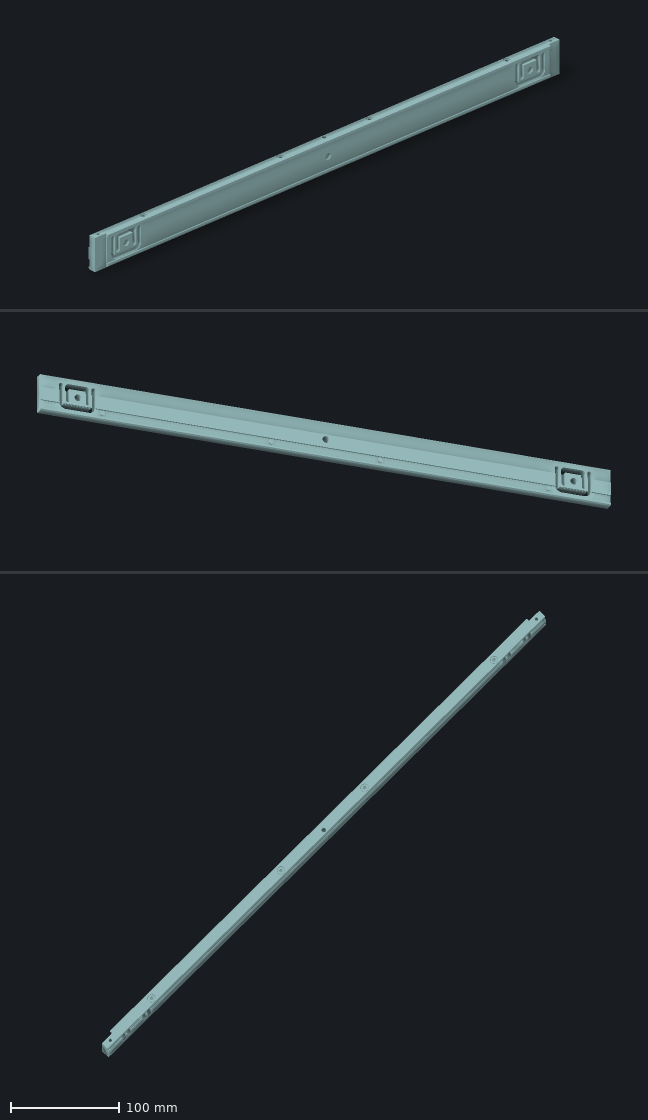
import cadquery as cq
import math

RAIL_LENGTH = 575.0
RAIL_WIDTH = 11.85
RAIL_HEIGHT = 36.1
LEFT = -RAIL_WIDTH / 2
RIGHT = RAIL_WIDTH / 2
TOP = RAIL_HEIGHT / 2
BOTTOM = -RAIL_HEIGHT / 2
HALF_LENGTH = RAIL_LENGTH / 2

WALL_STEP = 1.5
BODY_LEFT = LEFT + WALL_STEP
BODY_RIGHT = RIGHT - WALL_STEP
BAND_TOP = 5.5
BAND_BOTTOM = -7.8
EDGE_BREAK = 0.8
FOOT_TOP = -15.2
FOOT_BOTTOM = -17.0
TOP_LIP_DROP = 0.6
TOP_LIP_BOTTOM = 14.7
LOW_LIP_TOP = -12.8
LOW_LIP_BOTTOM = -14.8
BEVEL_TOP = -16.5
BEVEL_WIDTH = 1.5

END_CUT_LENGTH = 13.5
END_CUT_DEPTH = 3.0
END_RIGHT = RIGHT - END_CUT_DEPTH
END_CENTRE_X = (BODY_LEFT + END_RIGHT) / 2

TONGUE_Y = 250.0
OUTER_HALF_WIDTH = 18.5
ARM_OUTER_HALF_WIDTH = 14.2
ARM_INNER_HALF_WIDTH = 12.2
TONGUE_HALF_WIDTH = 8.0
SLOT_TOP = 12.8
TONGUE_TOP = 8.0
BRIDGE_TOP = -6.0
BRIDGE_BOTTOM = -8.0
OUTER_SLOT_BOTTOM = -12.5
OUTER_CORNER_RADIUS = 7.0
INNER_CORNER_RADIUS = 3.5
SLOT_END_RADIUS = 2.0

CROSS_HOLE_DIAMETER = 6.6
TOP_HOLE_X = -1.2
TOP_HOLE_DIAMETER = 4.3
TOP_HOLE_DEPTH = 10.0
END_HOLE_Y = 280.0
END_HOLE_DIAMETER = 3.1
END_HOLE_DEPTH = 10.0
DRILL_POINT_ANGLE = 118.0

FASTENER_Y = (-225.0, -55.0, 55.0, 225.0)
SCREW_COUNTERBORE_DIAMETER = 7.6
SCREW_HEAD_DIAMETER = 7.0
SCREW_SHANK_DIAMETER = 4.3
SCREW_SOCKET_DIAMETER = 3.4
SCREW_HEAD_RECESS = 0.5
SCREW_HEAD_HEIGHT = 4.0
SCREW_SOCKET_DEPTH = 2.0
SCREW_SHANK_LENGTH = 12.0
SCREW_SEAT_Z = TOP - SCREW_HEAD_RECESS - SCREW_HEAD_HEIGHT
PIN_DIAMETER = 4.6
PIN_Z = -11.2
PIN_LENGTH = RAIL_WIDTH / 2


def box_between(x_range, y_range, z_range):
    """Box given by its low and high limit along each axis."""
    size = [high - low for low, high in (x_range, y_range, z_range)]
    corner = (x_range[0], y_range[0], z_range[0])
    return cq.Workplane("XY").box(*size, centered=False).translate(corner)


def cylinder_down(diameter, depth, x, y, top_z):
    return cq.Workplane("XY", origin=(x, y, top_z)).circle(diameter / 2).extrude(-depth)


def cylinder_inward(diameter, depth, start_x, y, z):
    """Cylinder that starts at start_x and runs along +X."""
    return cq.Workplane("YZ", origin=(start_x, y, z)).circle(diameter / 2).extrude(depth)


def drilled_hole(diameter, depth, x, y):
    """Blind hole from the top face with a drill point at its bottom."""
    radius = diameter / 2
    point_depth = radius / math.tan(math.radians(DRILL_POINT_ANGLE / 2))
    half_outline = (
        cq.Workplane("XZ")
        .polyline([(0, 0), (radius, 0), (radius, -depth), (0, -depth - point_depth)])
        .close()
    )
    return half_outline.revolve(360, (0, 0), (0, 1)).translate((x, y, TOP))


def slot_block(half_width, bottom_z, top_z):
    """Block through the whole rail, centred on Y = 0."""
    return box_between((LEFT, RIGHT), (-half_width, half_width), (bottom_z, top_z))


def rail_bar():
    section = (
        cq.Workplane("XZ")
        .moveTo(BODY_LEFT, TOP)
        .lineTo(BODY_RIGHT, TOP)
        .lineTo(RIGHT, TOP - TOP_LIP_DROP)
        .lineTo(RIGHT, TOP_LIP_BOTTOM)
        .lineTo(BODY_RIGHT, TOP_LIP_BOTTOM)
        .lineTo(BODY_RIGHT, LOW_LIP_TOP)
        .lineTo(RIGHT, LOW_LIP_TOP)
        .lineTo(RIGHT, LOW_LIP_BOTTOM)
        .lineTo(BODY_RIGHT, BEVEL_TOP)
        .lineTo(BODY_RIGHT - BEVEL_WIDTH, BOTTOM)
        .lineTo(BODY_LEFT, BOTTOM)
        .lineTo(LEFT, FOOT_BOTTOM)
        .lineTo(LEFT, FOOT_TOP - EDGE_BREAK)
        .lineTo(LEFT + EDGE_BREAK, FOOT_TOP)
        .lineTo(BODY_LEFT, FOOT_TOP)
        .lineTo(BODY_LEFT, BAND_BOTTOM)
        .lineTo(LEFT, BAND_BOTTOM)
        .lineTo(LEFT, BAND_TOP - EDGE_BREAK)
        .lineTo(LEFT + EDGE_BREAK, BAND_TOP)
        .lineTo(BODY_LEFT, BAND_TOP)
        .close()
    )
    return section.extrude(HALF_LENGTH, both=True)


def end_cut(side):
    """Removes the +X side of the rail at one end."""
    near_y = HALF_LENGTH - END_CUT_LENGTH
    y_range = sorted((side * near_y, side * HALF_LENGTH))
    return box_between((END_RIGHT, RIGHT), y_range, (BOTTOM, TOP))


def outer_slot():
    """U-shaped slot that runs down both sides of the arms and below the bridge."""
    outside = slot_block(OUTER_HALF_WIDTH, OUTER_SLOT_BOTTOM, SLOT_TOP)
    outside = outside.edges("|X and <Z").fillet(OUTER_CORNER_RADIUS)
    inside = slot_block(ARM_OUTER_HALF_WIDTH, BRIDGE_BOTTOM, SLOT_TOP)
    return outside.cut(inside).edges("|X and >Z").fillet(SLOT_END_RADIUS)


def inner_slot():
    """Inverted U-shaped slot between the arms and the tongue."""
    outside = slot_block(ARM_INNER_HALF_WIDTH, BRIDGE_TOP, SLOT_TOP)
    outside = outside.edges("|X and >Z").fillet(INNER_CORNER_RADIUS)
    inside = slot_block(TONGUE_HALF_WIDTH, BRIDGE_TOP, TONGUE_TOP)
    return outside.cut(inside).edges("|X and <Z").fillet(SLOT_END_RADIUS)


def cross_hole(y):
    return cylinder_inward(CROSS_HOLE_DIAMETER, RAIL_WIDTH, LEFT, y, 0)


def screw_bore(y):
    counterbore_depth = TOP - SCREW_SEAT_Z
    counterbore = cylinder_down(SCREW_COUNTERBORE_DIAMETER, counterbore_depth, 0, y, TOP)
    shank_hole = cylinder_down(SCREW_SHANK_DIAMETER, SCREW_SHANK_LENGTH, 0, y, SCREW_SEAT_Z)
    return counterbore.union(shank_hole)


def make_screw(y):
    head_top = SCREW_SEAT_Z + SCREW_HEAD_HEIGHT
    head = cylinder_down(SCREW_HEAD_DIAMETER, SCREW_HEAD_HEIGHT, 0, y, head_top)
    shank = cylinder_down(SCREW_SHANK_DIAMETER, SCREW_SHANK_LENGTH, 0, y, SCREW_SEAT_Z)
    socket = cylinder_down(SCREW_SOCKET_DIAMETER, SCREW_SOCKET_DEPTH, 0, y, head_top)
    return head.union(shank).cut(socket)


def make_pin(y):
    """Pin along X that stands out of the groove, level with the raised band."""
    return cylinder_inward(PIN_DIAMETER, PIN_LENGTH, LEFT, y, PIN_Z)


def make_rail():
    rail = rail_bar()
    for side in (-1, 1):
        tongue_place = (0, side * TONGUE_Y, 0)
        rail = rail.cut(end_cut(side))
        rail = rail.cut(outer_slot().translate(tongue_place))
        rail = rail.cut(inner_slot().translate(tongue_place))
        end_hole_y = side * END_HOLE_Y
        rail = rail.cut(drilled_hole(END_HOLE_DIAMETER, END_HOLE_DEPTH, END_CENTRE_X, end_hole_y))
    for y in (-TONGUE_Y, 0, TONGUE_Y):
        rail = rail.cut(cross_hole(y))
    rail = rail.cut(drilled_hole(TOP_HOLE_DIAMETER, TOP_HOLE_DEPTH, TOP_HOLE_X, 0))
    for y in FASTENER_Y:
        rail = rail.cut(screw_bore(y))
        rail = rail.cut(make_pin(y))
    return rail


rail = make_rail()
screws = [make_screw(y) for y in FASTENER_Y]
pins = [make_pin(y) for y in FASTENER_Y]

result = cq.Compound.makeCompound(
    [rail.val()] + [screw.val() for screw in screws] + [pin.val() for pin in pins]
)